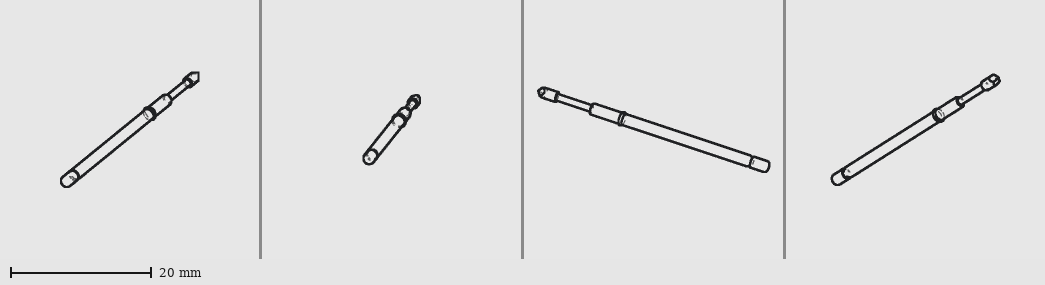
import cadquery as cq
import math

total_length = 35.7
tip_y = total_length / 2
tail_y = -total_length / 2

head_radius = 0.75
head_length = 2.93
stem_radius = 0.5
facet_angle = 33.0
facet_count = 3

barrel_diameter = 1.68
barrel_radius = barrel_diameter / 2
tail_face_radius = 0.4
mouth_from_tip = 8.32
edge_round = 0.45
lip_radius = 0.7
collar_radius = 1.0
collar_from_tip = 13.05
collar_width = 0.55

groove_wall_from_tail = 2.5
groove_floor_width = 0.32
groove_hollow = 0.07

tail_round = barrel_radius - tail_face_radius
head_base_y = tip_y - head_length
mouth_y = tip_y - mouth_from_tip
collar_y = tip_y - collar_from_tip
groove_wall_y = tail_y + groove_wall_from_tail
groove_front_y = groove_wall_y + groove_floor_width

edge_drop = barrel_radius - lip_radius
edge_run = math.sqrt(edge_round**2 - (edge_round - edge_drop) ** 2)


def rod(radius, start_y, end_y):
    """Solid cylinder on the Y axis between two stations."""
    plane = cq.Plane(origin=(0, start_y, 0), xDir=(1, 0, 0), normal=(0, 1, 0))
    return cq.Workplane(plane).circle(radius).extrude(end_y - start_y)


def make_barrel():
    """Tube with a rounded mouth, a groove near the tail and a rounded tail end."""
    profile = (
        cq.Workplane("XY")
        .moveTo(0, tail_y)
        .lineTo(tail_face_radius, tail_y)
        .radiusArc((barrel_radius, tail_y + tail_round), -tail_round)
        .lineTo(barrel_radius, groove_wall_y)
        .lineTo(lip_radius, groove_wall_y)
        .sagittaArc((lip_radius, groove_front_y), groove_hollow)
        .radiusArc((barrel_radius, groove_front_y + edge_run), -edge_round)
        .lineTo(barrel_radius, mouth_y - edge_run)
        .radiusArc((lip_radius, mouth_y), -edge_round)
        .lineTo(0, mouth_y)
        .close()
    )
    return profile.revolve(360, (0, 0, 0), (0, 1, 0))


def make_collar():
    """Ring around the barrel with a fully rounded rim."""
    rim_radius = collar_width / 2
    shoulder = collar_radius - rim_radius
    profile = (
        cq.Workplane("XY")
        .moveTo(0, collar_y - rim_radius)
        .lineTo(shoulder, collar_y - rim_radius)
        .threePointArc((collar_radius, collar_y), (shoulder, collar_y + rim_radius))
        .lineTo(0, collar_y + rim_radius)
        .close()
    )
    return profile.revolve(360, (0, 0, 0), (0, 1, 0))


def make_head():
    """Round head cut by facets that meet in a point on the axis."""
    head = rod(head_radius, head_base_y, tip_y)
    reach = 2 * head_radius
    facet_length = reach / math.tan(math.radians(facet_angle))
    waste = (
        cq.Workplane("XY")
        .moveTo(0, tip_y)
        .lineTo(reach, tip_y - facet_length)
        .lineTo(reach, tip_y)
        .close()
        .extrude(reach, both=True)
    )
    for i in range(facet_count):
        head = head.cut(waste.rotate((0, 0, 0), (0, 1, 0), i * 360 / facet_count))
    return head


stem = rod(stem_radius, mouth_y, head_base_y)
result = make_barrel().union(make_collar()).union(stem).union(make_head())